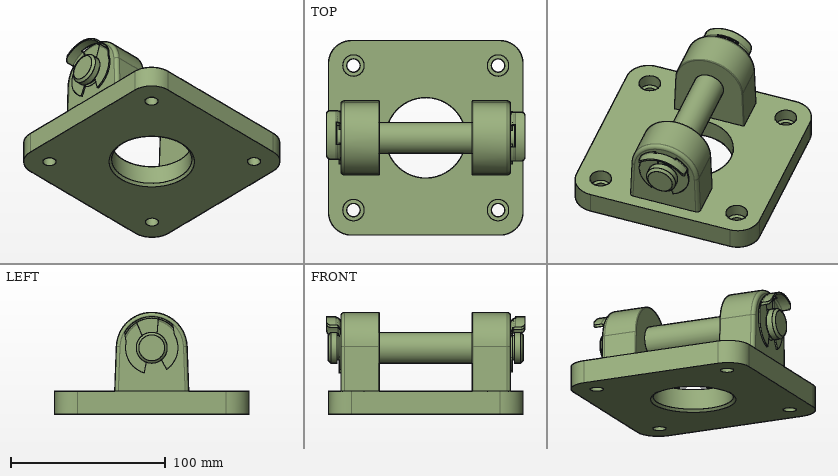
import cadquery as cq
import math

PLATE_SIZE = 126.0
PLATE_THICKNESS = 15.0
PLATE_CORNER_RADIUS = 15.0
CENTRE_HOLE_RADIUS = 26.0
CENTRE_HOLE_CHAMFER = 1.7
SCREW_OFFSET = 46.8
SCREW_HOLE_RADIUS = 4.2
COUNTERBORE_RADIUS = 7.0
COUNTERBORE_DEPTH = 8.5

AXIS_HEIGHT = 43.0

LUG_INNER_X = 30.1
LUG_OUTER_X = 55.0
LUG_RADIUS = 23.0
LUG_BASE_HALF_WIDTH = 24.0
LUG_OUTER_FILLET = 2.5
LUG_INNER_FILLET = 0.5

PIN_RADIUS = 10.0
PIN_HALF_LENGTH = 63.1
PIN_CHAMFER = 1.7
GROOVE_RADIUS = 8.0
GROOVE_OUTER_X = 57.3

CLIP_THICKNESS = 1.0
CLIP_RING_RADIUS = 17.0
CLIP_BEND_RADIUS = 3.2
CLIP_INNER_BEND_RADIUS = 1.2
CLIP_END_X = 64.2
FLANGE_HALF_WIDTH = 15.8
FLANGE_CORNER_RADIUS = 2.5
WINDOW_CENTRE_HALF_WIDTH = 2.7
WINDOW_FLARE = 14.0
MOUTH_CENTRE_HALF_WIDTH = 1.8
MOUTH_FLARE = 20.0
CLIP_TURNS = {"left": 9.0, "right": 4.0}


def make_plate():
    plate = (
        cq.Workplane("XY")
        .rect(PLATE_SIZE, PLATE_SIZE)
        .extrude(PLATE_THICKNESS)
        .edges("|Z")
        .fillet(PLATE_CORNER_RADIUS)
    )
    plate = plate.faces(">Z").workplane().hole(2 * CENTRE_HOLE_RADIUS)
    plate = plate.faces("<Z").wires(cq.selectors.LengthNthSelector(0)).chamfer(CENTRE_HOLE_CHAMFER)
    return (
        plate.faces(">Z")
        .workplane()
        .rect(2 * SCREW_OFFSET, 2 * SCREW_OFFSET, forConstruction=True)
        .vertices()
        .cboreHole(2 * SCREW_HOLE_RADIUS, 2 * COUNTERBORE_RADIUS, COUNTERBORE_DEPTH)
    )


def make_lug():
    """Lug on the +X side, without the pin bore."""
    base_drop = AXIS_HEIGHT - PLATE_THICKNESS
    corner_distance = math.hypot(LUG_BASE_HALF_WIDTH, base_drop)
    corner_angle = math.atan2(base_drop, LUG_BASE_HALF_WIDTH)
    tangent_angle = math.acos(LUG_RADIUS / corner_distance) - corner_angle
    tangent_y = LUG_RADIUS * math.cos(tangent_angle)
    tangent_z = AXIS_HEIGHT + LUG_RADIUS * math.sin(tangent_angle)
    lug = (
        cq.Workplane("YZ", origin=(LUG_INNER_X, 0, 0))
        .moveTo(-LUG_BASE_HALF_WIDTH, PLATE_THICKNESS)
        .lineTo(-tangent_y, tangent_z)
        .threePointArc((0, AXIS_HEIGHT + LUG_RADIUS), (tangent_y, tangent_z))
        .lineTo(LUG_BASE_HALF_WIDTH, PLATE_THICKNESS)
        .close()
        .extrude(LUG_OUTER_X - LUG_INNER_X)
    )
    lug = lug.faces(">X").edges("not <Z").fillet(LUG_OUTER_FILLET)
    return lug.faces("<X").edges("not <Z").fillet(LUG_INNER_FILLET)


def make_bracket():
    lug = make_lug()
    pin_bore = (
        cq.Workplane("YZ", origin=(-LUG_OUTER_X, 0, AXIS_HEIGHT))
        .circle(PIN_RADIUS)
        .extrude(2 * LUG_OUTER_X)
    )
    return make_plate().union(lug).union(lug.mirror("YZ")).cut(pin_bore)


def make_pin():
    pin = (
        cq.Workplane("YZ", origin=(-PIN_HALF_LENGTH, 0, AXIS_HEIGHT))
        .circle(PIN_RADIUS)
        .extrude(2 * PIN_HALF_LENGTH)
        .faces("<X or >X")
        .chamfer(PIN_CHAMFER)
    )
    groove = (
        cq.Workplane("YZ", origin=(LUG_OUTER_X, 0, AXIS_HEIGHT))
        .circle(PIN_RADIUS)
        .circle(GROOVE_RADIUS)
        .extrude(GROOVE_OUTER_X - LUG_OUTER_X)
    )
    return pin.cut(groove).cut(groove.mirror("YZ"))


def bend_middle(tangent_x, tangent_radius, bend_radius):
    """Middle of a quarter bend from the ring plane to a tangent cylinder around the X axis."""
    inset = bend_radius * (1 - math.sqrt(0.5))
    return (tangent_x + inset, tangent_radius - inset)


def make_flange():
    """Curved flange around the X axis, bent from the ring, trimmed to a straight-sided strip."""
    inner_x = LUG_OUTER_X
    outer_x = LUG_OUTER_X + CLIP_THICKNESS
    outer_radius = CLIP_RING_RADIUS + CLIP_BEND_RADIUS
    inner_radius = outer_radius - CLIP_THICKNESS
    shell = (
        cq.Workplane("XY")
        .moveTo(inner_x, CLIP_RING_RADIUS)
        .threePointArc(
            bend_middle(inner_x, outer_radius, CLIP_BEND_RADIUS),
            (inner_x + CLIP_BEND_RADIUS, outer_radius),
        )
        .lineTo(CLIP_END_X, outer_radius)
        .lineTo(CLIP_END_X, inner_radius)
        .lineTo(outer_x + CLIP_INNER_BEND_RADIUS, inner_radius)
        .threePointArc(
            bend_middle(outer_x, inner_radius, CLIP_INNER_BEND_RADIUS),
            (outer_x, inner_radius - CLIP_INNER_BEND_RADIUS),
        )
        .lineTo(outer_x, CLIP_RING_RADIUS)
        .close()
        .revolve(360, (0, 0, 0), (1, 0, 0))
    )
    strip = (
        cq.Workplane("XY")
        .center((LUG_OUTER_X + CLIP_END_X) / 2, 0)
        .rect(CLIP_END_X - LUG_OUTER_X, 2 * FLANGE_HALF_WIDTH)
        .extrude(outer_radius)
        .edges("|Z and >X")
        .fillet(FLANGE_CORNER_RADIUS)
    )
    return shell.intersect(strip)


def flared_cutter(centre_half_width, flare, reach, depth):
    """Prism from the X axis out to `reach` along Z, widening by `flare` degrees on each side."""
    end_half_width = centre_half_width + abs(reach) * math.tan(math.radians(flare))
    return (
        cq.Workplane("YZ", origin=(LUG_OUTER_X, 0, 0))
        .polyline(
            [
                (-centre_half_width, 0),
                (centre_half_width, 0),
                (end_half_width, reach),
                (-end_half_width, reach),
            ]
        )
        .close()
        .extrude(depth)
    )


def make_clip(side, turn):
    """Clip on the left (-X) or right (+X) end of the pin, turned about the pin axis towards +Y."""
    ring = (
        cq.Workplane("YZ", origin=(LUG_OUTER_X, 0, 0))
        .circle(CLIP_RING_RADIUS)
        .circle(GROOVE_RADIUS)
        .extrude(CLIP_THICKNESS)
    )
    flange_reach = CLIP_RING_RADIUS + CLIP_BEND_RADIUS
    window = flared_cutter(WINDOW_CENTRE_HALF_WIDTH, WINDOW_FLARE, flange_reach, CLIP_BEND_RADIUS)
    mouth = flared_cutter(MOUTH_CENTRE_HALF_WIDTH, MOUTH_FLARE, -flange_reach, CLIP_THICKNESS)
    clip = ring.union(make_flange()).cut(window).cut(mouth)
    clip = clip.rotate((0, 0, 0), (1, 0, 0), -turn).translate((0, 0, AXIS_HEIGHT))
    return clip.mirror("YZ") if side == "left" else clip


bracket = make_bracket()
pin = make_pin()
clips = [make_clip(side, turn) for side, turn in CLIP_TURNS.items()]

result = cq.Compound.makeCompound([body.solids().val() for body in (bracket, pin, *clips)])